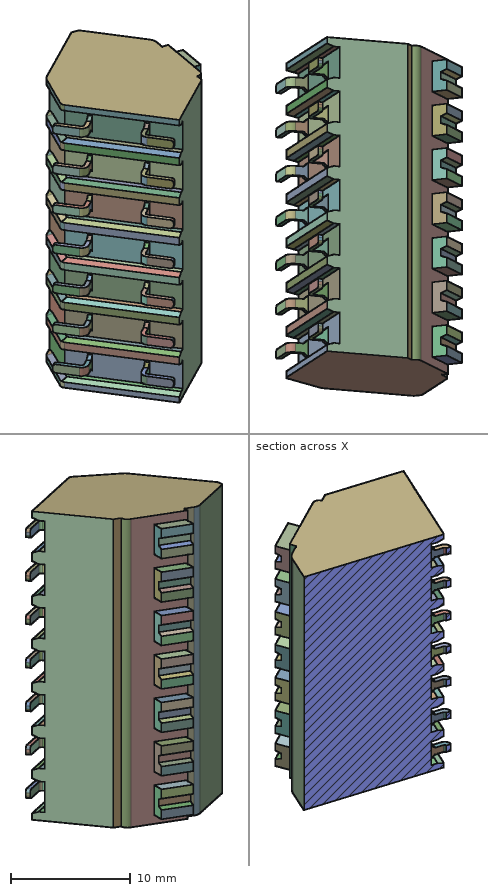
import cadquery as cq
import math

pole_count = 7
height = 27.05
pitch = 3.81
end_rib_offset = (height - pole_count * pitch) / 2

width = 12.7
depth = 12.83
rear_chamfer = 0.51
front_cut_x = 2.44
front_cut_y = 4.1
slope_corner_radius = 0.51
side_corner_radius = 1.0
slope_side = 5.63
slope_length = slope_side * math.sqrt(2)
slope_blend_radius = 1.0

pocket_depth = 1.15
rib_thickness = 0.7
rib_bevel_depth = 0.6
rib_bevel_width = 0.22

pad_start = 1.3
pad_end = 7.23
pad_height = 0.6
pad_corner_radius = 0.57
button_start = 1.43
button_length = 3.0
button_height = 1.35
button_width = 2.62
groove_mouth = 1.0
groove_bottom = 0.6
groove_depth = 0.55

pin_length = 2.98
pin_thickness = 0.4
pin_width = 0.8
pin_root_width = 1.5
pin_root_taper = 0.38
pin_foot_y = -0.65
pin_bend_radius = 0.65
pin_tip_radius = 0.27
left_leg_x = 4.85
right_leg_x = 9.4


def slope_point(along, out):
    """XY point on the 45 degree corner: distance from its rear end, and height above it."""
    half = math.sqrt(0.5)
    return (width - slope_side + (along + out) * half, depth + (out - along) * half)


def make_body():
    """Full housing prism, before the pockets are taken out."""
    pad_arc_along = pad_end - pad_corner_radius
    pad_arc_out = pad_height - pad_corner_radius
    arc_reach = pad_corner_radius * math.sqrt(0.5)
    blend = slope_blend_radius * math.tan(math.pi / 8)
    body = (
        cq.Workplane("XY")
        .moveTo(front_cut_x, 0)
        .lineTo(width, 0)
        .lineTo(*slope_point(slope_length, 0))
        .lineTo(*slope_point(pad_end, 0))
        .lineTo(*slope_point(pad_end, pad_arc_out))
        .threePointArc(
            slope_point(pad_arc_along + arc_reach, pad_arc_out + arc_reach),
            slope_point(pad_arc_along, pad_height),
        )
        .lineTo(*slope_point(pad_start, pad_height))
        .lineTo(*slope_point(pad_start, 0))
        .lineTo(*slope_point(blend, 0))
        .tangentArcPoint((width - slope_side - blend, depth), relative=False)
        .lineTo(rear_chamfer, depth)
        .lineTo(0, depth - rear_chamfer)
        .lineTo(0, front_cut_y)
        .close()
        .extrude(height)
    )
    front_corner = cq.selectors.NearestToPointSelector((front_cut_x, 0, height / 2))
    body = body.edges(front_corner).fillet(slope_corner_radius)
    side_corner = cq.selectors.NearestToPointSelector((0, front_cut_y, height / 2))
    return body.edges(side_corner).fillet(side_corner_radius)


def make_front_zone():
    """Everything in front of the pocket floors."""
    margin = 2 * pocket_depth
    floor_slope = front_cut_y / front_cut_x
    return (
        cq.Workplane("XY")
        .polyline([
            (-margin, -margin),
            (width + margin, -margin),
            (width + margin, pocket_depth),
            (front_cut_x, pocket_depth),
            (-margin, front_cut_y + pocket_depth + margin * floor_slope),
        ])
        .close()
        .extrude(height)
    )


def make_rib(z):
    """Divider rib centred on z, with bevelled edges; it overhangs the housing on the right."""
    rear = depth / 2
    overhang = width + 2 * pocket_depth
    outline = [(0, rear), (0, front_cut_y), (front_cut_x, 0), (overhang, 0), (overhang, rear)]
    bevel_taper = math.degrees(math.atan2(rib_bevel_depth, rib_bevel_width))
    rib = cq.Workplane("XY").polyline(outline).close().extrude(rib_thickness / 2)
    bevelled_part = (
        cq.Workplane("XY")
        .workplane(offset=rib_thickness / 2)
        .polyline(outline)
        .close()
        .extrude(rib_bevel_width, taper=bevel_taper)
    )
    upper_half = rib.union(bevelled_part)
    return upper_half.union(upper_half.mirror("XY")).translate((0, 0, z))


def make_button(z):
    """Push button centred on z, with a screwdriver groove running across its face."""
    top = pad_height + button_height
    button_end = button_start + button_length
    button = (
        cq.Workplane("XY")
        .polyline([
            slope_point(button_start, 0),
            slope_point(button_end, 0),
            slope_point(button_end, top),
            slope_point(button_start, top),
        ])
        .close()
        .extrude(button_width / 2, both=True)
    )
    face_start = slope_point(button_start, top)
    groove_plane = cq.Plane(origin=(*face_start, 0), xDir=(0, 0, 1), normal=(1, -1, 0))
    groove = (
        cq.Workplane(groove_plane)
        .polyline([
            (-groove_mouth / 2, 0),
            (groove_mouth / 2, 0),
            (groove_bottom / 2, groove_depth),
            (-groove_bottom / 2, groove_depth),
        ])
        .close()
        .extrude(button_length)
    )
    return button.cut(groove).translate((0, 0, z))


def make_pin(leg_x, direction, z):
    """Bent solder pin centred on z; its foot points along X in the given direction from leg_x."""
    inner_radius = pin_bend_radius - pin_thickness
    bend_y = pin_foot_y + pin_bend_radius
    diagonal = math.sqrt(0.5)
    strip = (
        cq.Workplane("XY")
        .moveTo(0, pocket_depth)
        .lineTo(0, bend_y)
        .threePointArc(
            (pin_bend_radius * (1 - diagonal), bend_y - pin_bend_radius * diagonal),
            (pin_bend_radius, pin_foot_y),
        )
        .lineTo(pin_length, pin_foot_y)
        .lineTo(pin_length, pin_foot_y + pin_thickness)
        .lineTo(pin_bend_radius, pin_foot_y + pin_thickness)
        .threePointArc(
            (pin_bend_radius - inner_radius * diagonal, bend_y - inner_radius * diagonal),
            (pin_thickness, bend_y),
        )
        .lineTo(pin_thickness, pocket_depth)
        .close()
        .extrude(pin_width / 2, both=True)
        .edges(">X and |Y")
        .fillet(pin_tip_radius)
    )
    root = (
        cq.Workplane("YZ")
        .polyline([
            (pocket_depth, -pin_root_width / 2),
            (pocket_depth, pin_root_width / 2),
            (pocket_depth - pin_root_taper, pin_width / 2),
            (pocket_depth - pin_root_taper, -pin_width / 2),
        ])
        .close()
        .extrude(pin_thickness)
    )
    pin = strip.union(root)
    if direction < 0:
        pin = pin.mirror("YZ")
    return pin.translate((leg_x, 0, z))


pockets = make_front_zone()
for rib_index in range(pole_count + 1):
    pockets = pockets.cut(make_rib(end_rib_offset + rib_index * pitch))
result = make_body().cut(pockets)

for pole_index in range(pole_count):
    pole_z = end_rib_offset + (pole_index + 0.5) * pitch
    result = result.union(make_button(pole_z))
    result = result.union(make_pin(left_leg_x, -1, pole_z))
    result = result.union(make_pin(right_leg_x, 1, pole_z))